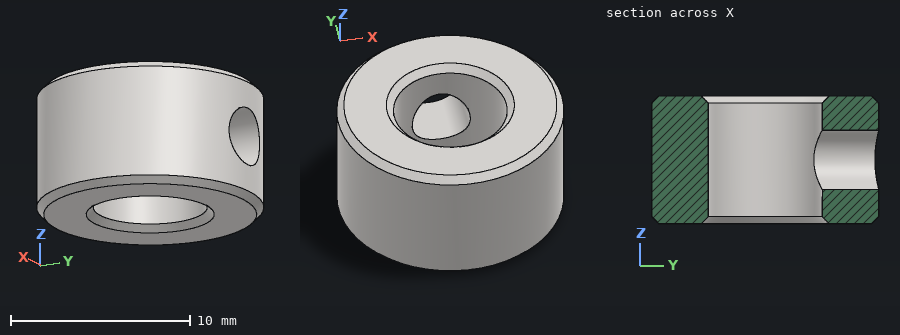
import cadquery as cq

OUTER_DIAMETER = 12.7
BORE_DIAMETER = 6.35
HEIGHT = 7.14
CHAMFER = 0.4

SCREW_HOLE_DIAMETER = 3.3


def make_ring():
    """Plain ring with equal chamfers on all four circular edges."""
    ring = (
        cq.Workplane("XY", origin=(0, 0, -HEIGHT / 2))
        .circle(OUTER_DIAMETER / 2)
        .circle(BORE_DIAMETER / 2)
        .extrude(HEIGHT)
    )
    return ring.faces("|Z").edges().chamfer(CHAMFER)


def make_screw_hole():
    """Cylinder running from the collar axis out to its +Y side."""
    return (
        cq.Workplane("XZ")
        .circle(SCREW_HOLE_DIAMETER / 2)
        .extrude(-OUTER_DIAMETER / 2)
    )


result = make_ring().cut(make_screw_hole())